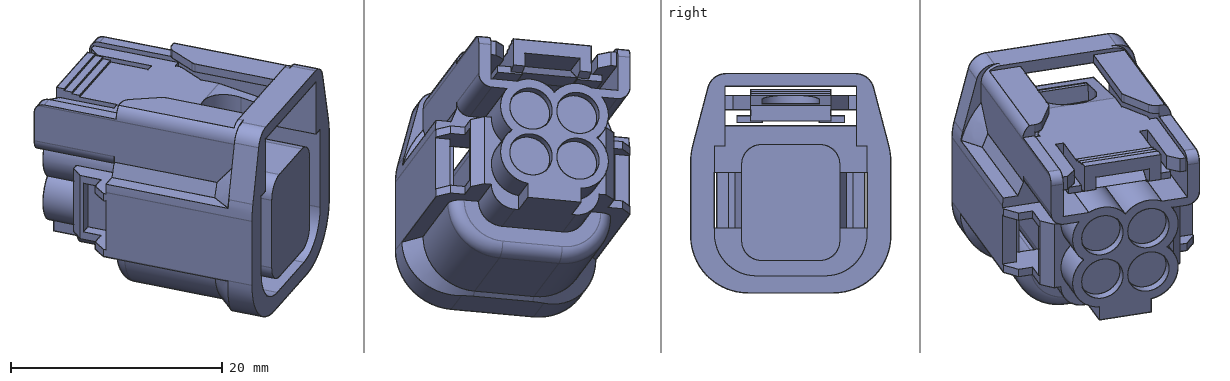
import cadquery as cq
import math

LENGTH = 23.25
HEIGHT = 20.8
WIDTH = 19.0
HALF_WIDTH = WIDTH / 2
BODY_START = 8.23
RAIL_START = 8.42
FLARE_START = 18.79
NECK_START = 20.25
FLANGE_START = 20.76
FRONT_WALL_BACK = 10.1

SIDE_TOP = 12.35
SIDE_ARC = 6.75
SIDE_LEAN = math.radians(14.7)
TOP_CORNER = 1.81
BOTTOM_CORNER = 5.46

LEDGE_TOP = 13.2
SIDE_BOTTOM = 5.4
SHOULDER_TOP = 14.58
SHOULDER_FOOT = 7.97
LOWER_HALF_WIDTH = 7.95
LOWER_BOTTOM = 0.35
LOWER_CORNER = SIDE_BOTTOM - LOWER_BOTTOM
LOWER_TOP = 6.98
LOWER_NOSE = 1.25
FLARE_ANGLE = 38
FLARE_EDGE_TOP = 16.95

WALL_OUT = 7.42
WALL_IN = 6.2
TRAY_BOTTOM = 13.9
TRAY_FLOOR = 14.75
CHANNEL_FLOOR = 15.85
CHANNEL_ROOF = 19.58
TRAY_WALL_TOP = 19.23
RAIL_TOP = 20.41
CHANNEL_BOTTOM_CORNER = 1.28
CHANNEL_TOP_CORNER = 1.77
TRAY_NOSE = 1.02
RAIL_IN = 3.65

TUBE_Y = 2.3
TUBE_Z = (7.46, 12.1)
TUBE_RADIUS = 2.98
BORE_RADIUS = 2.07
BORE_DEPTH = 0.93
KEY_HALF_WIDTH = 2.6
BASE_BOTTOM = 3.1
BASE_CORNER = SIDE_BOTTOM - BASE_BOTTOM
BASE_HALF_WIDTH = TUBE_Y + TUBE_RADIUS

LOOP_START = 3.45
LOOP_TOP = 12.18
LOOP_FACE = 7.02
LOOP_FOOT = 5.95
LOOP_RAMP_END = 4.55
EAR_START = 6.7
EAR_RAMP_END = 7.97
EAR_HALF_WIDTH = 8.42
WINDOW_START = 4.88
WINDOW_STEP = 6.95
WINDOW_TAPER = 8.77
WINDOW_FLOOR = 5.9
WINDOW_BOTTOM = 6.18
WINDOW_TOP = 11.42
SHELL_IN = 8.1

CAVITY_HALF_WIDTH = 7.23
CAVITY_BOTTOM = 1.63
CAVITY_CORNER = 3.95
CAVITY_TOP = 13.95
CORE_HALF_WIDTH = 4.65
CORE_TOP = 14.07
CORE_CORNER = 1.85

PLATE_BOTTOM = 17.35
PLATE_TOP = 18.75
TAB_START = 0.42
TAB_CORNER_Y = 5.63
TAB_CORNER_END = 1.45
SLOT_OUT = 4.6
SLOT_END = 7.02
WALL_JOINT_END = 9.11
NARROWING_START = 9.65
NARROWING_END = 12.45
NARROWING_Y = 5.49
LATCH_START = 0.8
LATCH_HALF_WIDTH = 3.81
GRIP_TOP = 19.3
GRIP_STEP = 0.8
GRIP_COUNT = 3
POST_IN = 2.7
POST_BOTTOM = 16.65
LUG_START = 1.75
LUG_END = 4.3
LUG_BOTTOM = 16.14
LUG_TOP = 16.8
LUG_HALF_WIDTH = 5.12
WEDGE_BOTTOM = 16.3
RECESS_TOP = 17.95
RAMP_START = 14.28
RAMP_END_TOP = 17.76
HOLE_HALF_WIDTH = 2.72
HOLE_END = 18.95
HOLE_LIP = 19.13
HOLE_STEP_END = 19.67
HOLE_STEP_DEPTH = 0.07


def box(x_range, y_range, z_range):
    """Axis-aligned block from its limits."""
    size = [limits[1] - limits[0] for limits in (x_range, y_range, z_range)]
    corner = (x_range[0], y_range[0], z_range[0])
    return cq.Workplane("XY").box(*size, centered=False).translate(corner)


def centred_box(x_range, half_width, z_range):
    return box(x_range, (-half_width, half_width), z_range)


def both_sides(solid):
    """Add the mirror image across the XZ plane."""
    return solid.union(solid.mirror("XZ"))


def section(x):
    """Sketch plane across the part: local axes are Y and Z, extrusion runs along +X."""
    return cq.Workplane("YZ", origin=(x, 0, 0))


def plan(points, z_range):
    """Prism from an XY outline."""
    outline = cq.Workplane("XY", origin=(0, 0, z_range[0])).polyline(points).close()
    return outline.extrude(z_range[1] - z_range[0])


def side_prism(points, y_range):
    """Prism from an XZ outline."""
    outline = cq.Workplane("XZ", origin=(0, y_range[0], 0)).polyline(points).close()
    return outline.extrude(y_range[0] - y_range[1])


def rounded_bottom(x, half_width, bottom, top, corner):
    """Closed U-shaped wire with round lower corners."""
    diagonal = corner * (1 - math.sqrt(0.5))
    return (
        section(x)
        .moveTo(-half_width, top)
        .lineTo(-half_width, bottom + corner)
        .threePointArc((diagonal - half_width, bottom + diagonal), (corner - half_width, bottom))
        .lineTo(half_width - corner, bottom)
        .threePointArc((half_width - diagonal, bottom + diagonal), (half_width, bottom + corner))
        .lineTo(half_width, top)
        .close()
    )


def flange_prism(start, end):
    """Full outer outline: round bottom, leaning upper sides, round top corners."""
    sine = math.sin(SIDE_LEAN)
    cosine = math.cos(SIDE_LEAN)
    half_lean = SIDE_LEAN / 2
    arc_y = HALF_WIDTH - SIDE_ARC
    lean_low = (arc_y + SIDE_ARC * cosine, SIDE_TOP + SIDE_ARC * sine)
    arc_mid = (arc_y + SIDE_ARC * math.cos(half_lean), SIDE_TOP + SIDE_ARC * math.sin(half_lean))
    corner_z = HEIGHT - TOP_CORNER
    lean_high_z = corner_z + TOP_CORNER * sine
    lean_high_y = lean_low[0] - (lean_high_z - lean_low[1]) * math.tan(SIDE_LEAN)
    corner_y = lean_high_y - TOP_CORNER * cosine
    middle = (SIDE_LEAN + math.pi / 2) / 2
    corner_mid = (corner_y + TOP_CORNER * math.cos(middle), corner_z + TOP_CORNER * math.sin(middle))
    diagonal = BOTTOM_CORNER * (1 - math.sqrt(0.5))
    half = (
        section(start)
        .moveTo(0, 0)
        .lineTo(HALF_WIDTH - BOTTOM_CORNER, 0)
        .threePointArc((HALF_WIDTH - diagonal, diagonal), (HALF_WIDTH, BOTTOM_CORNER))
        .lineTo(HALF_WIDTH, SIDE_TOP)
        .threePointArc(arc_mid, lean_low)
        .lineTo(lean_high_y, lean_high_z)
        .threePointArc(corner_mid, (corner_y, HEIGHT))
        .lineTo(0, HEIGHT)
        .close()
        .extrude(end - start)
    )
    return both_sides(half)


def channel_prism(start, end, top):
    """Rounded upper housing, cut level at the given height."""
    tube = (
        section(start)
        .center(0, (TRAY_BOTTOM + HEIGHT) / 2)
        .rect(2 * WALL_OUT, HEIGHT - TRAY_BOTTOM)
        .extrude(end - start)
        .edges("|X and >Z").fillet(CHANNEL_TOP_CORNER)
        .edges("|X and <Z").fillet(CHANNEL_BOTTOM_CORNER)
    )
    return tube.intersect(centred_box((start, end), WALL_OUT, (TRAY_BOTTOM, top)))


def lower_body():
    """Round-bottomed belly with a rounded front edge and a flare into the flange."""
    shape = (LOWER_HALF_WIDTH, LOWER_BOTTOM, LOWER_TOP, LOWER_CORNER)
    belly = rounded_bottom(BODY_START, *shape).extrude(FLANGE_START - BODY_START)
    belly = belly.faces("<X").edges("not >Z").fillet(LOWER_NOSE)
    flare = rounded_bottom(FLARE_START, *shape).extrude(FLANGE_START - FLARE_START, taper=-FLARE_ANGLE)
    return belly.union(flare.intersect(flange_prism(FLARE_START, FLANGE_START)))


def upper_flare():
    """Curved gusset between shoulder, upper wall and flange on the +Y side."""
    flange_edge = (HALF_WIDTH - 0.1, LEDGE_TOP)
    edge_middle = (8.67, 15.11)
    gusset = (
        section(FLARE_START)
        .moveTo(WALL_IN, LEDGE_TOP)
        .lineTo(SHOULDER_FOOT, LEDGE_TOP)
        .lineTo(WALL_OUT, SHOULDER_TOP)
        .lineTo(WALL_IN, SHOULDER_TOP)
        .close()
        .workplane(offset=FLANGE_START - FLARE_START)
        .moveTo(WALL_IN, LEDGE_TOP)
        .lineTo(*flange_edge)
        .threePointArc(edge_middle, (WALL_OUT, FLARE_EDGE_TOP))
        .lineTo(WALL_IN, FLARE_EDGE_TOP)
        .close()
        .loft(ruled=True)
    )
    return gusset


def wide_body():
    """Side band, shoulders, belly and flange."""
    band_limits = centred_box((BODY_START, FLANGE_START), HALF_WIDTH, (SIDE_BOTTOM, LEDGE_TOP))
    band = flange_prism(BODY_START, FLANGE_START).intersect(band_limits)
    shoulder = (
        section(BODY_START)
        .polyline([
            (-SHOULDER_FOOT, LEDGE_TOP),
            (SHOULDER_FOOT, LEDGE_TOP),
            (WALL_OUT, SHOULDER_TOP),
            (WALL_OUT, CHANNEL_FLOOR),
            (-WALL_OUT, CHANNEL_FLOOR),
            (-WALL_OUT, SHOULDER_TOP),
        ])
        .close()
        .extrude(FLANGE_START - BODY_START)
    )
    flange = flange_prism(FLANGE_START, LENGTH)
    return band.union(shoulder).union(lower_body()).union(both_sides(upper_flare())).union(flange)


def channel_housing():
    """Open tray at the cable end, then the taller railed section and its neck."""
    tray = channel_prism(0, RAIL_START, TRAY_WALL_TOP)
    nose_limits = centred_box((0, RAIL_START), WALL_OUT, (0, TRAY_WALL_TOP))
    nose_limits = nose_limits.edges("<X and >Z").fillet(TRAY_NOSE)
    railed = channel_prism(RAIL_START, NECK_START, RAIL_TOP)
    neck = channel_prism(NECK_START, FLANGE_START, HEIGHT)
    return tray.intersect(nose_limits).union(railed).union(neck)


def rail_gap():
    """Opening between the two rails, flared towards the cable end."""
    half = (
        cq.Workplane("XY", origin=(0, 0, CHANNEL_ROOF))
        .moveTo(RAIL_START, 0)
        .lineTo(RAIL_START, WALL_IN)
        .threePointArc((8.55, 5.7), (8.9, 5.32))
        .lineTo(11.55, 3.77)
        .threePointArc((11.72, 3.67), (11.9, RAIL_IN))
        .lineTo(NECK_START, RAIL_IN)
        .lineTo(NECK_START, 0)
        .close()
        .extrude(HEIGHT - CHANNEL_ROOF)
    )
    return both_sides(half)


def mating_cavity():
    """Space behind the front wall, open at the mating end and joined to the channel."""
    cavity = rounded_bottom(
        FRONT_WALL_BACK, CAVITY_HALF_WIDTH, CAVITY_BOTTOM, CAVITY_TOP, CAVITY_CORNER
    ).extrude(LENGTH - FRONT_WALL_BACK)
    channel = centred_box((FRONT_WALL_BACK, LENGTH), WALL_IN, (SIDE_BOTTOM, CHANNEL_ROOF))
    return cavity.union(channel)


def core():
    """Terminal block standing inside the mating cavity."""
    block = centred_box((BODY_START, LENGTH), CORE_HALF_WIDTH, (BASE_BOTTOM, CORE_TOP))
    return block.edges("|X").fillet(CORE_CORNER)


def tube_circles(x, radius, length):
    """Four parallel cylinders on the terminal axes."""
    cylinders = cq.Workplane("YZ")
    for y in (-TUBE_Y, TUBE_Y):
        for z in TUBE_Z:
            cylinders = cylinders.union(section(x).center(y, z).circle(radius).extrude(length))
    return cylinders


def terminal_tubes():
    """Four joined tubes with the key below them and the base behind the key."""
    tubes = tube_circles(0, TUBE_RADIUS, BODY_START)
    web = centred_box((0, BODY_START), TUBE_Y, TUBE_Z)
    key = centred_box((0, LOOP_START), KEY_HALF_WIDTH, (BASE_BOTTOM, TUBE_Z[0]))
    base = rounded_bottom(LOOP_START, BASE_HALF_WIDTH, BASE_BOTTOM, LOOP_TOP, BASE_CORNER)
    return tubes.union(web).union(key).union(base.extrude(BODY_START - LOOP_START))


def side_loop():
    """Loop on the +Y side, before its window is cut."""
    return plan(
        [
            (LOOP_START, 0),
            (LOOP_START, LOOP_FOOT),
            (LOOP_RAMP_END, LOOP_FACE),
            (EAR_START, LOOP_FACE),
            (EAR_START, EAR_HALF_WIDTH),
            (EAR_RAMP_END, HALF_WIDTH),
            (BODY_START, HALF_WIDTH),
            (BODY_START, 0),
        ],
        (SIDE_BOTTOM, LOOP_TOP),
    )


def side_window():
    """Stepped window of the +Y loop, reaching through the front wall into the cavity."""
    return plan(
        [
            (WINDOW_START, WINDOW_FLOOR),
            (WINDOW_STEP, WINDOW_FLOOR),
            (WINDOW_STEP, BASE_HALF_WIDTH),
            (WINDOW_TAPER, BASE_HALF_WIDTH),
            (FRONT_WALL_BACK, CORE_HALF_WIDTH),
            (FRONT_WALL_BACK, SHELL_IN),
            (BODY_START, SHELL_IN),
            (BODY_START, HALF_WIDTH),
            (WINDOW_START, HALF_WIDTH),
        ],
        (WINDOW_BOTTOM, WINDOW_TOP),
    )


def ramp_height(x):
    """Top of the sloping end of the latch plate."""
    return PLATE_TOP + (RAMP_END_TOP - PLATE_TOP) * (x - RAMP_START) / (FLANGE_START - RAMP_START)


def latch_hole():
    """D-shaped hole with a step along its straight edge."""
    centre = RAMP_START + HOLE_HALF_WIDTH
    hole = (
        cq.Workplane("XY", origin=(0, 0, WEDGE_BOTTOM))
        .moveTo(HOLE_END, HOLE_HALF_WIDTH)
        .lineTo(centre, HOLE_HALF_WIDTH)
        .threePointArc((RAMP_START, 0), (centre, -HOLE_HALF_WIDTH))
        .lineTo(HOLE_END, -HOLE_HALF_WIDTH)
        .close()
        .extrude(PLATE_TOP - WEDGE_BOTTOM)
    )
    lip_z = ramp_height(HOLE_LIP) - HOLE_STEP_DEPTH
    step_points = [
        (HOLE_END, WEDGE_BOTTOM),
        (HOLE_LIP, lip_z),
        (HOLE_STEP_END, ramp_height(HOLE_STEP_END) - HOLE_STEP_DEPTH),
        (HOLE_STEP_END, PLATE_TOP),
        (HOLE_END, PLATE_TOP),
    ]
    return hole.union(side_prism(step_points, (-HOLE_HALF_WIDTH, HOLE_HALF_WIDTH)))


def latch_plate():
    """Plate bridging the channel walls, with a slotted tongue and a thick ramped catch end."""
    outline = [
        (TAB_START, WALL_IN),
        (TAB_START, TAB_CORNER_Y),
        (TAB_CORNER_END, SLOT_OUT),
        (SLOT_END, SLOT_OUT),
        (SLOT_END, LATCH_HALF_WIDTH),
        (LATCH_START, LATCH_HALF_WIDTH),
        (LATCH_START, 0),
        (FLANGE_START, 0),
        (FLANGE_START, LATCH_HALF_WIDTH),
        (NARROWING_END, LATCH_HALF_WIDTH),
        (NARROWING_START, NARROWING_Y),
        (WALL_JOINT_END, NARROWING_Y),
        (WALL_JOINT_END, WALL_IN),
    ]
    plate = both_sides(plan(outline, (PLATE_BOTTOM, PLATE_TOP)))
    recess = centred_box((LATCH_START, LUG_END), POST_IN, (PLATE_BOTTOM, RECESS_TOP))
    ramp_points = [
        (RAMP_START, PLATE_TOP),
        (FLANGE_START, PLATE_TOP),
        (FLANGE_START, RAMP_END_TOP),
    ]
    ramp = side_prism(ramp_points, (-LATCH_HALF_WIDTH, LATCH_HALF_WIDTH))
    catch = centred_box((RAMP_START, FLANGE_START), LATCH_HALF_WIDTH, (WEDGE_BOTTOM, PLATE_BOTTOM))
    return plate.union(catch).cut(recess).cut(ramp).cut(latch_hole())


def latch_grip():
    """Descending finger steps on top of the tongue."""
    rise = (GRIP_TOP - PLATE_TOP) / GRIP_COUNT
    grip = cq.Workplane("XY")
    for step in range(GRIP_COUNT):
        end = LATCH_START + (step + 1) * GRIP_STEP
        top = GRIP_TOP - step * rise
        grip = grip.union(centred_box((LATCH_START, end), LATCH_HALF_WIDTH, (PLATE_TOP, top)))
    return grip


def latch_hooks():
    """Posts with side lugs below the tongue, and the wedge between them."""
    post_points = [
        (LATCH_START, PLATE_TOP),
        (LATCH_START, POST_BOTTOM),
        (LUG_START, WEDGE_BOTTOM),
        (LUG_END, WEDGE_BOTTOM),
        (LUG_END, PLATE_TOP),
    ]
    post = side_prism(post_points, (POST_IN, LATCH_HALF_WIDTH))
    lug = box((LUG_START, LUG_END), (POST_IN, LUG_HALF_WIDTH), (LUG_BOTTOM, LUG_TOP))
    wedge_points = [
        (LUG_START, WEDGE_BOTTOM),
        (LUG_END, WEDGE_BOTTOM),
        (LUG_END, RECESS_TOP),
    ]
    wedge = side_prism(wedge_points, (-POST_IN, POST_IN))
    return both_sides(post.union(lug)).union(wedge)


shell = wide_body().union(channel_housing())
shell = shell.cut(centred_box((0, BODY_START), WALL_IN, (TRAY_FLOOR, HEIGHT)))
shell = shell.cut(centred_box((BODY_START, FRONT_WALL_BACK), WALL_IN, (CHANNEL_FLOOR, CHANNEL_ROOF)))
shell = shell.cut(centred_box((BODY_START, RAIL_START), WALL_IN, (CHANNEL_ROOF, HEIGHT)))
shell = shell.cut(mating_cavity()).cut(rail_gap())
shell = shell.cut(centred_box((0, BODY_START), TUBE_Y, (TRAY_BOTTOM, TRAY_FLOOR)))

result = shell.union(core()).union(terminal_tubes()).union(both_sides(side_loop()))
result = result.cut(both_sides(side_window()))
result = result.cut(tube_circles(0, BORE_RADIUS, BORE_DEPTH))

result = result.union(latch_plate()).union(latch_grip()).union(latch_hooks())